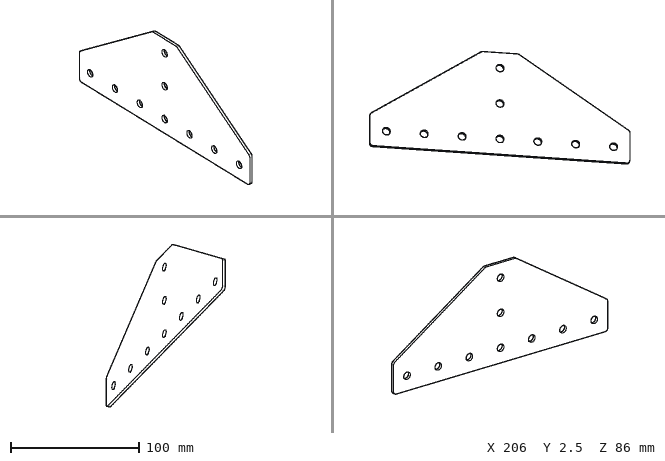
import cadquery as cq

hole_pitch = 30.0
edge_margin = 13.0
row_hole_count = 7
stem_hole_count = 2
hole_diameter = 6.2
thickness = 2.5
corner_radius = 2.5
top_edge_width = 29.0
side_edge_height = 27.0

half_row = hole_pitch * (row_hole_count - 1) / 2
half_width = half_row + edge_margin
bottom = -edge_margin
top = hole_pitch * stem_hole_count + edge_margin
shoulder = bottom + side_edge_height
half_top = top_edge_width / 2


def make_plate():
    """Six-sided plate standing in the XZ plane, with rounded corners."""
    outline = [
        (-half_width, bottom),
        (half_width, bottom),
        (half_width, shoulder),
        (half_top, top),
        (-half_top, top),
        (-half_width, shoulder),
    ]
    plate = cq.Workplane("XZ").polyline(outline).close().extrude(thickness)
    return plate.edges("|Y").fillet(corner_radius)


def hole_centres():
    """Centres of the holes, which form an upside-down T."""
    row = [(-half_row + i * hole_pitch, 0) for i in range(row_hole_count)]
    stem = [(0, (i + 1) * hole_pitch) for i in range(stem_hole_count)]
    return row + stem


def make_holes():
    """Cylinders that pass through the full thickness of the plate."""
    return cq.Workplane("XZ").pushPoints(hole_centres()).circle(hole_diameter / 2).extrude(thickness)


result = make_plate().cut(make_holes())